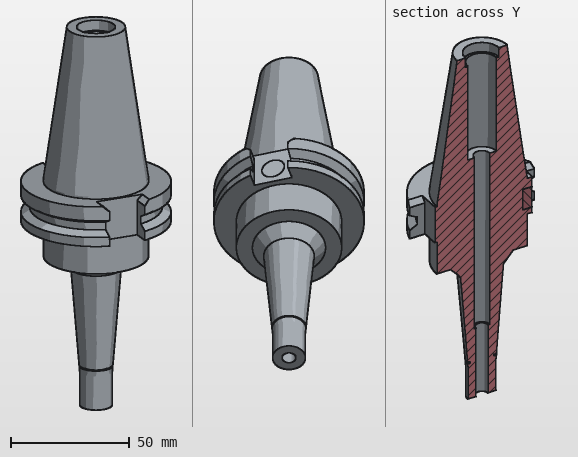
import cadquery as cq
import math

TOTAL_HEIGHT = 169.8
GAUGE_Z = 101.5
FLANGE_TOP_Z = 100.5
FLANGE_BOTTOM_Z = 82.7
COLLAR_BOTTOM_Z = 67.0
NECK_TOP_Z = 61.7
NOSE_TOP_Z = 15.1

TAPER_TOP_RADIUS = 12.4
GAUGE_RADIUS = 22.3
FLANGE_RADIUS = 31.8
SHOULDER_RADIUS = 15.5
NECK_RADIUS = 10.7
NOSE_RADIUS = 7.0

V_CENTER_Z = 90.5
V_FLOOR_RADIUS = 28.0
V_FLOOR_WIDTH = 3.4
V_MOUTH_WIDTH = 7.5

NOSE_GROOVE_BOTTOM_Z = 17.7
NOSE_GROOVE_WIDTH = 0.5
NOSE_GROOVE_FLOOR_RADIUS = 6.0

SLOT_WIDTH = 16.5
LEFT_SLOT_FLOOR_X = -24.6
RIGHT_SLOT_FLOOR_X = 23.1
SLOT_CHAMFER = 2.4

COUNTERBORE_RADIUS = 8.2
COUNTERBORE_DEPTH = 4.6
THREAD_BORE_RADIUS = 7.0
THREAD_BORE_BOTTOM_Z = 118.9
COOLANT_BORE_RADIUS = 3.7
COOLANT_BORE_BOTTOM_Z = 34.0
TOOL_BORE_RADIUS = 2.9

PLUG_RADIUS = 5.0
PLUG_LENGTH = 4.6


def cylinder(radius, bottom_z, top_z):
    """Upright cylinder on the spindle axis."""
    return cq.Workplane("XY").workplane(offset=bottom_z).circle(radius).extrude(top_z - bottom_z)


def turned_body():
    """Outer shape of the holder, revolved around the spindle axis."""
    half_floor = V_FLOOR_WIDTH / 2
    half_mouth = V_MOUTH_WIDTH / 2
    profile = [
        (0, 0),
        (NOSE_RADIUS, 0),
        (NOSE_RADIUS, NOSE_TOP_Z),
        (NECK_RADIUS, NECK_TOP_Z),
        (SHOULDER_RADIUS, COLLAR_BOTTOM_Z),
        (GAUGE_RADIUS, COLLAR_BOTTOM_Z),
        (GAUGE_RADIUS, FLANGE_BOTTOM_Z),
        (FLANGE_RADIUS, FLANGE_BOTTOM_Z),
        (FLANGE_RADIUS, V_CENTER_Z - half_mouth),
        (V_FLOOR_RADIUS, V_CENTER_Z - half_floor),
        (V_FLOOR_RADIUS, V_CENTER_Z + half_floor),
        (FLANGE_RADIUS, V_CENTER_Z + half_mouth),
        (FLANGE_RADIUS, FLANGE_TOP_Z),
        (GAUGE_RADIUS, FLANGE_TOP_Z),
        (GAUGE_RADIUS, GAUGE_Z),
        (TAPER_TOP_RADIUS, TOTAL_HEIGHT),
        (0, TOTAL_HEIGHT),
    ]
    return cq.Workplane("YZ").polyline(profile).close().revolve(360, (0, 0, 0), (0, 1, 0))


def nose_groove():
    """Ring that cuts the narrow groove at the bottom of the slim cone."""
    top_z = NOSE_GROOVE_BOTTOM_Z + NOSE_GROOVE_WIDTH
    ring = cylinder(NECK_RADIUS, NOSE_GROOVE_BOTTOM_Z, top_z)
    return ring.cut(cylinder(NOSE_GROOVE_FLOOR_RADIUS, NOSE_GROOVE_BOTTOM_Z, top_z))


def drive_slot(floor_x):
    """Cutter for one drive slot with a chamfered mouth, running outward from its floor."""
    half_width = SLOT_WIDTH / 2
    half_mouth = half_width + SLOT_CHAMFER
    outline = [
        (-half_width, FLANGE_BOTTOM_Z),
        (half_width, FLANGE_BOTTOM_Z),
        (half_width, FLANGE_TOP_Z - SLOT_CHAMFER),
        (half_mouth, FLANGE_TOP_Z),
        (-half_mouth, FLANGE_TOP_Z),
        (-half_width, FLANGE_TOP_Z - SLOT_CHAMFER),
    ]
    floor = cq.Workplane("YZ").workplane(offset=floor_x)
    flange_edge_x = math.copysign(FLANGE_RADIUS, floor_x)
    return floor.polyline(outline).close().extrude(flange_edge_x - floor_x)


def stepped_bore():
    """Cutter for the bore that runs through the whole holder."""
    counterbore = cylinder(COUNTERBORE_RADIUS, TOTAL_HEIGHT - COUNTERBORE_DEPTH, TOTAL_HEIGHT)
    thread_bore = cylinder(THREAD_BORE_RADIUS, THREAD_BORE_BOTTOM_Z, TOTAL_HEIGHT)
    coolant_bore = cylinder(COOLANT_BORE_RADIUS, COOLANT_BORE_BOTTOM_Z, TOTAL_HEIGHT)
    tool_bore = cylinder(TOOL_BORE_RADIUS, 0, TOTAL_HEIGHT)
    return counterbore.union(thread_bore).union(coolant_bore).union(tool_bore)


def make_plug():
    """Plug that runs inward from the floor of the -X drive slot, level with the V-groove."""
    floor = cq.Workplane("YZ").workplane(offset=LEFT_SLOT_FLOOR_X)
    return floor.center(0, V_CENTER_Z).circle(PLUG_RADIUS).extrude(PLUG_LENGTH)


def make_holder(plug):
    """Tool holder with a blind hole that the plug fills exactly."""
    body = turned_body().cut(nose_groove()).cut(stepped_bore())
    for floor_x in (LEFT_SLOT_FLOOR_X, RIGHT_SLOT_FLOOR_X):
        body = body.cut(drive_slot(floor_x))
    return body.cut(plug)


plug = make_plug()
holder = make_holder(plug)

result = cq.Compound.makeCompound([holder.val(), plug.val()])